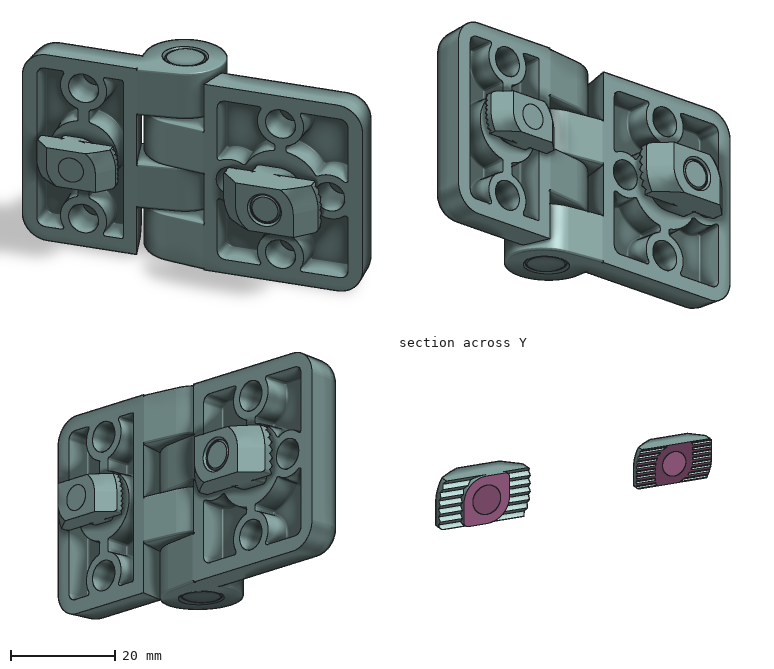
import cadquery as cq
import math


DRAFT = 2.5
PLATE_THICKNESS = 8.6
PLATE_HEIGHT = 40.0
PLATE_CORNER_RADIUS = 5.1
BACK_EDGE_RADIUS = 3.3
LEFT_LENGTH = 30.05
RIGHT_LENGTH = 39.05
KNUCKLE_WEB_START = 6.55
HINGE_EDGE = 6.85
HINGE_EDGE_LEAN = 13.0
STAGGER = 0.52

AXIS_HEIGHT = 9.0
KNUCKLE_RADIUS = 8.0
KNUCKLE_EDGE_RADIUS = 0.5
KNUCKLE_ROOT_FILLET = 1.0
KNUCKLE_ROOT = 3.45
KNUCKLE_GAP = 1.05
KNUCKLE_INNER_END = 9.45
KNUCKLE_OUTER_START = KNUCKLE_INNER_END + KNUCKLE_GAP
KNUCKLE_OUTER_END = PLATE_HEIGHT / 2 + STAGGER

PIN_RADIUS = 4.0
PIN_HALF_LENGTH = 19.8
PIN_CHAMFER = 0.35
PIN_HOLE_CHAMFER = 0.5

POCKET_DEPTH = 5.1
POCKET_MARGIN = 3.0
POCKET_HINGE_EDGE = 9.5
POCKET_HEIGHT = 34.1
POCKET_CORNER_RADIUS = 1.65
POCKET_SMALL_RADIUS = 0.5
POCKET_FLOOR_RADIUS = 0.35
NECK_WIDTH = 2.3
BOSS_RADIUS = 4.7
LEFT_CENTRE_BOSS_RADIUS = 6.9
RIGHT_CENTRE_BOSS_RADIUS = 8.2
HOLE_RADIUS = 3.05
HOLE_DEPTH = 6.9
HOLE_DRAFT = 4.0
LEFT_HOLE_X = 17.6
RIGHT_HOLE_X = 22.4
HOLE_SPACING_Z = 14.0
HOLE_SPACING_X = 10.0

SCREW_RADIUS = 3.05
SMALL_THREAD_RADIUS = 2.55
SCREW_TIP_CHAMFER = 0.4
SCREW_TIP_RECESS = 0.35

COLLAR_CORNER_RADIUS = 1.0
WING_CORNER_RADIUS = 0.6
NUT_HOLE_CHAMFER = 0.4
TOOTH_DEPTH_RATIO = 0.45
SMALL_NUT_WIDTH = 8.0
SMALL_NUT_HALF_LENGTH = 8.0
SMALL_NUT_LEVELS = (-1.4, -2.75, -4.4, -7.45)
SMALL_NUT_TEETH = 8
LARGE_NUT_WIDTH = 9.8
LARGE_NUT_HALF_LENGTH = 9.6
LARGE_NUT_LEVELS = (-0.7, -3.65, -5.7, -9.45)
LARGE_NUT_TEETH = 6


def tangent_point():
    """Point where the flat underside of a knuckle, rising from the plate, meets the barrel."""
    reach = math.hypot(KNUCKLE_WEB_START, AXIS_HEIGHT)
    angle = math.atan2(-AXIS_HEIGHT, -KNUCKLE_WEB_START) + math.acos(KNUCKLE_RADIUS / reach)
    return KNUCKLE_RADIUS * math.cos(angle), AXIS_HEIGHT + KNUCKLE_RADIUS * math.sin(angle)


def drafted_block(x_start, x_end, height):
    """Block on the mounting face, as tall as a plate, whose sides lean in with the draft."""
    return (
        cq.Workplane("XZ")
        .center((x_start + x_end) / 2, STAGGER)
        .rect(x_end - x_start, PLATE_HEIGHT)
        .extrude(-height, taper=DRAFT)
    )


def hinge_edge_cut(z_start, z_end):
    """Clearance beside the plate for a knuckle of the other leaf."""
    lean = PLATE_THICKNESS * math.tan(math.radians(HINGE_EDGE_LEAN))
    return (
        cq.Workplane("XY", origin=(0, 0, z_start))
        .moveTo(-HINGE_EDGE, 0)
        .lineTo(-HINGE_EDGE - lean, PLATE_THICKNESS)
        .lineTo(0, PLATE_THICKNESS)
        .lineTo(0, 0)
        .close()
        .extrude(z_end - z_start)
    )


def leaf_plate(length):
    """Rounded, drafted plate with the clearances for the knuckles of the other leaf."""
    plate = drafted_block(-length, 0, PLATE_THICKNESS)
    plate = plate.faces("<X").edges("not(<Y or >Y)").fillet(PLATE_CORNER_RADIUS)
    plate = plate.faces(">Y").edges("not >X").fillet(BACK_EDGE_RADIUS)
    hinge_end = cq.Workplane("XY").box(2 * HINGE_EDGE, 2 * PLATE_THICKNESS, 2 * PLATE_HEIGHT)
    plate = plate.cut(hinge_end)
    plate = plate.cut(hinge_edge_cut(-PLATE_HEIGHT, -KNUCKLE_INNER_END))
    return plate.cut(hinge_edge_cut(0, KNUCKLE_OUTER_START))


def knuckle_barrel(z_start, z_end):
    """Barrel with a web into the plate; its outer end follows the draft of the plate."""
    root_x = -KNUCKLE_RADIUS - KNUCKLE_ROOT
    shoulder = PLATE_THICKNESS - BACK_EDGE_RADIUS
    barrel = (
        cq.Workplane("XY", origin=(0, 0, z_start))
        .moveTo(root_x, 0)
        .lineTo(-KNUCKLE_WEB_START, 0)
        .lineTo(*tangent_point())
        .threePointArc((KNUCKLE_RADIUS, AXIS_HEIGHT), (0, AXIS_HEIGHT + KNUCKLE_RADIUS))
        .tangentArcPoint((-KNUCKLE_RADIUS, AXIS_HEIGHT), relative=False)
        .lineTo(-KNUCKLE_RADIUS, shoulder)
        .lineTo(root_x, shoulder)
        .close()
        .extrude(z_end - z_start)
    )
    barrel = barrel.intersect(drafted_block(2 * root_x, -2 * root_x, 2 * AXIS_HEIGHT))
    lower = (-KNUCKLE_RADIUS - KNUCKLE_EDGE_RADIUS, KNUCKLE_EDGE_RADIUS / 2, -PLATE_HEIGHT)
    upper = (PLATE_HEIGHT, PLATE_HEIGHT, PLATE_HEIGHT)
    free_edges = cq.selectors.BoxSelector(lower, upper)
    return barrel.edges("not |Z").edges(free_edges).fillet(KNUCKLE_EDGE_RADIUS)


def knuckle_root_fillet(z_start, z_end):
    """Concave blend from the back of the plate up to the barrel."""
    radius = KNUCKLE_ROOT_FILLET
    return (
        cq.Workplane("XY", origin=(0, 0, z_start))
        .moveTo(-KNUCKLE_RADIUS - radius, PLATE_THICKNESS)
        .radiusArc((-KNUCKLE_RADIUS, PLATE_THICKNESS + radius), -radius)
        .lineTo(-KNUCKLE_RADIUS + radius, PLATE_THICKNESS)
        .close()
        .extrude(z_end - z_start)
    )


def drafted_island(outline):
    """Island that stands in a pocket and widens with the draft towards the pocket floor."""
    return outline.extrude(-POCKET_DEPTH, taper=-DRAFT)


def corner_zone(x, z):
    """Selector for the edges around one corner of a recess."""
    reach = POCKET_SMALL_RADIUS
    return cq.selectors.BoxSelector((x - reach, 0, z - reach), (x + reach, POCKET_DEPTH, z + reach))


def pockets(length, hole_x, boss_places, centre_radius, hinge_corner_radius):
    """Recess between the rim and the bosses, split into separate pockets by the bosses."""
    far_x = -length + POCKET_MARGIN
    width = -POCKET_HINGE_EDGE - far_x
    recess = (
        cq.Workplane("XZ")
        .center((far_x - POCKET_HINGE_EDGE) / 2, STAGGER)
        .rect(width, POCKET_HEIGHT)
        .extrude(-POCKET_DEPTH, taper=DRAFT)
    )
    screw = cq.Workplane("XZ", origin=(-hole_x, 0, STAGGER))
    recess = recess.cut(drafted_island(screw.circle(centre_radius)))
    for place in boss_places:
        recess = recess.cut(drafted_island(screw.center(*place).circle(BOSS_RADIUS)))
    recess = recess.cut(drafted_island(screw.rect(NECK_WIDTH, 2 * HOLE_SPACING_Z)))

    top = STAGGER + POCKET_HEIGHT / 2
    bottom = STAGGER - POCKET_HEIGHT / 2
    far_corners = corner_zone(far_x, top) + corner_zone(far_x, bottom)
    hinge_corners = corner_zone(-POCKET_HINGE_EDGE, top) + corner_zone(-POCKET_HINGE_EDGE, bottom)
    upright = cq.selectors.BoxSelector(
        (-length, POCKET_FLOOR_RADIUS, -PLATE_HEIGHT),
        (0, POCKET_DEPTH - POCKET_FLOOR_RADIUS, PLATE_HEIGHT),
    )
    recess = recess.edges(upright - far_corners - hinge_corners).fillet(POCKET_SMALL_RADIUS)
    recess = recess.edges(upright).edges(far_corners).fillet(POCKET_CORNER_RADIUS)
    recess = recess.edges(upright).edges(hinge_corners).fillet(hinge_corner_radius)
    return recess.faces(">Y").edges().fillet(POCKET_FLOOR_RADIUS)


def along_axis(z):
    """Workplane across the hinge axis at height z."""
    return cq.Workplane("XY", origin=(0, AXIS_HEIGHT, z))


def pin_hole():
    """Bore along the hinge axis, chamfered where it leaves the outer knuckle."""
    bore = along_axis(-PLATE_HEIGHT).circle(PIN_RADIUS).extrude(2 * PLATE_HEIGHT)
    mouth_radius = PIN_RADIUS + PIN_HOLE_CHAMFER
    mouth_z = KNUCKLE_OUTER_END - AXIS_HEIGHT * math.tan(math.radians(DRAFT))
    mouth = along_axis(mouth_z).circle(mouth_radius).extrude(PLATE_THICKNESS)
    cone = (
        along_axis(mouth_z).circle(mouth_radius)
        .workplane(offset=-PIN_HOLE_CHAMFER).circle(PIN_RADIUS).loft()
    )
    return bore.union(mouth).union(cone)


def leaf(length, hole_x, boss_places, centre_radius, hinge_corner_radius):
    """One leaf with its plate on the -X side and its outer knuckle at the +Z end."""
    body = leaf_plate(length)
    root_top = KNUCKLE_OUTER_END - BACK_EDGE_RADIUS
    for z_start, z_end in ((-KNUCKLE_INNER_END, 0), (KNUCKLE_OUTER_START, KNUCKLE_OUTER_END)):
        body = body.union(knuckle_barrel(z_start, z_end))
        body = body.union(knuckle_root_fillet(z_start, min(z_end, root_top)))
    body = body.cut(pin_hole())
    body = body.cut(pockets(length, hole_x, boss_places, centre_radius, hinge_corner_radius))
    screw = cq.Workplane("XZ", origin=(-hole_x, 0, STAGGER))
    body = body.cut(screw.circle(SCREW_RADIUS).extrude(-HOLE_DEPTH))
    for place in boss_places:
        hole = screw.center(*place).circle(HOLE_RADIUS).extrude(-HOLE_DEPTH, taper=HOLE_DRAFT)
        body = body.cut(hole)
    return body


def pin():
    """Hinge pin with chamfered ends."""
    shaft = along_axis(-PIN_HALF_LENGTH).circle(PIN_RADIUS).extrude(2 * PIN_HALF_LENGTH)
    return shaft.faces("<Z or >Z").chamfer(PIN_CHAMFER)


def screw(x, z, thread_radius, seat_y, tip_y, tip_chamfer):
    """Screw whose shank is set in the leaf and whose thread fills the nut from its seat to its tip."""
    shank_plane = cq.Workplane("XZ", origin=(x, HOLE_DEPTH, z))
    shank = shank_plane.circle(SCREW_RADIUS).extrude(HOLE_DEPTH - seat_y)
    thread_plane = cq.Workplane("XZ", origin=(x, seat_y, z))
    thread = thread_plane.circle(thread_radius).extrude(seat_y - tip_y)
    if tip_chamfer > 0:
        thread = thread.faces("<Y").chamfer(tip_chamfer)
    return shank.union(thread)


def wing_outline(half_length, wing_y, shoulder_y, bottom_y):
    """Outline of one half of a nut, from the screw axis out to its tip."""
    bottom_half_length = half_length - (shoulder_y - bottom_y)
    return (
        cq.Workplane("XY")
        .moveTo(0, bottom_y)
        .lineTo(0, wing_y)
        .lineTo(half_length, wing_y)
        .lineTo(half_length, shoulder_y)
        .lineTo(bottom_half_length, bottom_y)
        .close()
    )


def nut_wings(width, half_length, wing_y, shoulder_y, bottom_y):
    """Wide part of a T-slot nut: two square corners, and two that are turned round the screw."""
    outline = (half_length, wing_y, shoulder_y, bottom_y)
    turned = wing_outline(*outline).revolve(360, (0, 0, 0), (0, 1, 0))
    slab = cq.Workplane("XY").box(2 * half_length, 4 * half_length, width)
    wings = turned.intersect(slab)
    square_end = wing_outline(*outline).extrude(-width / 2)
    square_end = square_end.edges("|Y and >X and <Z").fillet(WING_CORNER_RADIUS)
    for angle in (0, 180):
        wings = wings.union(square_end.rotate((0, 0, 0), (0, 1, 0), angle))
    return wings


def nut_grooves(width, half_length, wing_y, count):
    """V grooves along X that leave pointed ridges on the wings."""
    pitch = width / count
    groove = (
        cq.Workplane("YZ", origin=(-half_length, 0, 0))
        .moveTo(wing_y, -pitch / 2)
        .lineTo(wing_y - pitch * TOOTH_DEPTH_RATIO, 0)
        .lineTo(wing_y, pitch / 2)
        .close()
        .extrude(2 * half_length)
    )
    first_z = (pitch - width) / 2
    return [groove.translate((0, 0, first_z + index * pitch)) for index in range(count)]


def nut_collar(width, top_y, shoulder_y):
    """Collar that runs in the slot, with two corners fully rounded and two nearly square."""
    half = width / 2
    straight = half - COLLAR_CORNER_RADIUS
    return (
        cq.Workplane("XZ", origin=(0, top_y, 0))
        .moveTo(-straight, half)
        .lineTo(0, half)
        .radiusArc((half, 0), half)
        .lineTo(half, -straight)
        .radiusArc((straight, -half), COLLAR_CORNER_RADIUS)
        .lineTo(0, -half)
        .radiusArc((-half, 0), half)
        .lineTo(-half, straight)
        .radiusArc((-straight, half), COLLAR_CORNER_RADIUS)
        .close()
        .extrude(top_y - shoulder_y)
    )


def nut(x, z, width, half_length, levels, tooth_count, thread_radius, mouth_chamfer):
    """T-slot nut with a serrated wing face and a threaded hole right through."""
    top_y, wing_y, shoulder_y, bottom_y = levels
    body = nut_wings(width, half_length, wing_y, shoulder_y, bottom_y)
    for groove in nut_grooves(width, half_length, wing_y, tooth_count):
        body = body.cut(groove)
    body = body.union(nut_collar(width, top_y, shoulder_y))
    hole = cq.Workplane("XZ", origin=(0, top_y, 0)).circle(thread_radius).extrude(top_y - bottom_y)
    body = body.cut(hole)
    if mouth_chamfer > 0:
        mouth = cq.selectors.RadiusNthSelector(0)
        body = body.faces("<Y").edges("%CIRCLE").edges(mouth).chamfer(mouth_chamfer)
    return body.translate((x, 0, z))


VERTICAL_HOLES = [(0, HOLE_SPACING_Z), (0, -HOLE_SPACING_Z)]
SIDE_HOLES = [(HOLE_SPACING_X, 0), (-HOLE_SPACING_X, 0)]

left_leaf = leaf(
    LEFT_LENGTH, LEFT_HOLE_X, VERTICAL_HOLES, LEFT_CENTRE_BOSS_RADIUS, POCKET_SMALL_RADIUS
)
right_leaf = leaf(
    RIGHT_LENGTH, RIGHT_HOLE_X, VERTICAL_HOLES + SIDE_HOLES, RIGHT_CENTRE_BOSS_RADIUS, POCKET_CORNER_RADIUS
).rotate((0, 0, 0), (0, 1, 0), 180)
hinge_pin = pin()

left_nut = nut(
    -LEFT_HOLE_X, STAGGER, SMALL_NUT_WIDTH, SMALL_NUT_HALF_LENGTH, SMALL_NUT_LEVELS,
    SMALL_NUT_TEETH, SMALL_THREAD_RADIUS, 0,
)
right_nut = nut(
    RIGHT_HOLE_X, -STAGGER, LARGE_NUT_WIDTH, LARGE_NUT_HALF_LENGTH, LARGE_NUT_LEVELS,
    LARGE_NUT_TEETH, SCREW_RADIUS, NUT_HOLE_CHAMFER,
)
left_screw = screw(
    -LEFT_HOLE_X, STAGGER, SMALL_THREAD_RADIUS, SMALL_NUT_LEVELS[0], SMALL_NUT_LEVELS[-1], 0
)
right_screw = screw(
    RIGHT_HOLE_X, -STAGGER, SCREW_RADIUS, LARGE_NUT_LEVELS[0],
    LARGE_NUT_LEVELS[-1] + SCREW_TIP_RECESS, SCREW_TIP_CHAMFER,
)

bodies = [left_leaf, right_leaf, hinge_pin, left_screw, right_screw, left_nut, right_nut]
result = cq.Compound.makeCompound([body.val() for body in bodies])